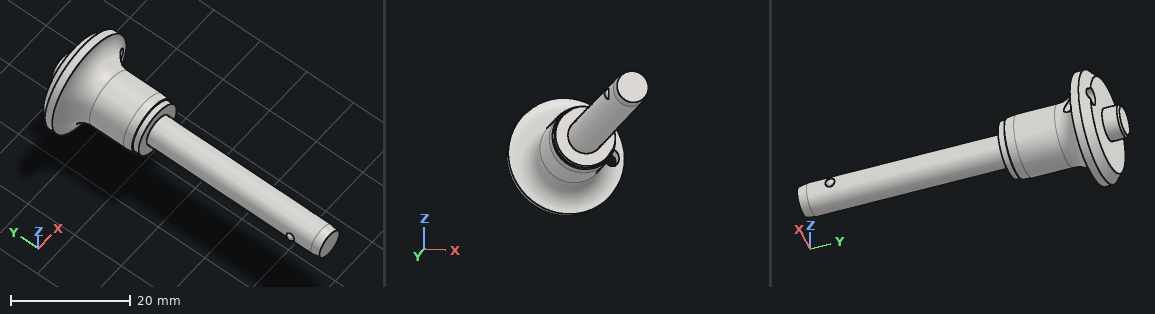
import cadquery as cq
import math

total_length = 57.7
tip_y = -total_length / 2
button_end_y = total_length / 2

button_radius = 2.9
button_height = 3.0
button_chamfer = 0.35

flange_diameter = 20.0
flange_radius = flange_diameter / 2
flange_chamfer = 1.55
flange_thickness = 3.1

barrel_radius = 5.6
barrel_length = 7.3
flare_radius = flange_radius - barrel_radius

taper_length = 1.75
taper_end_radius = 5.4
collar_radius = 5.15
collar_length = 1.2

shank_radius = 3.0
tip_radius = 2.7
tip_length = 1.75

ball_radius = 0.9
ball_reach = 3.5
ball_to_tip = 6.0

hole_radius = 1.5
hole_offset = 7.5

flange_top_y = button_end_y - button_height
flange_bottom_y = flange_top_y - flange_thickness
barrel_top_y = flange_bottom_y - flare_radius
barrel_bottom_y = barrel_top_y - barrel_length
taper_bottom_y = barrel_bottom_y - taper_length
collar_bottom_y = taper_bottom_y - collar_length


def pin_body():
    """Revolve the half profile of the shank, handle and button about Y."""
    flare_depth = flare_radius * math.sqrt(0.5)
    flare_middle = (flange_radius - flare_depth, barrel_top_y + flare_depth)
    profile = (
        cq.Workplane("XY")
        .moveTo(0, tip_y)
        .lineTo(tip_radius, tip_y)
        .lineTo(shank_radius, tip_y + tip_length)
        .lineTo(shank_radius, collar_bottom_y)
        .lineTo(collar_radius, collar_bottom_y)
        .lineTo(collar_radius, taper_bottom_y)
        .lineTo(taper_end_radius, taper_bottom_y)
        .lineTo(barrel_radius, barrel_bottom_y)
        .lineTo(barrel_radius, barrel_top_y)
        .threePointArc(flare_middle, (flange_radius, flange_bottom_y))
        .lineTo(flange_radius, flange_top_y - flange_chamfer)
        .lineTo(flange_radius - flange_chamfer, flange_top_y)
        .lineTo(button_radius, flange_top_y)
        .lineTo(button_radius, button_end_y - button_chamfer)
        .lineTo(button_radius - button_chamfer, button_end_y)
        .lineTo(0, button_end_y)
        .close()
    )
    return profile.revolve(360, (0, 0, 0), (0, 1, 0))


def locking_ball(side):
    """One of the two balls protruding from the shank, on the +X or -X side."""
    center_x = side * (ball_reach - ball_radius)
    return cq.Workplane("XY").sphere(ball_radius).translate((center_x, tip_y + ball_to_tip, 0))


def lanyard_hole():
    """Cutter for the hole through the flange, parallel to the pin axis."""
    return (
        cq.Workplane("XZ", origin=(hole_offset, flange_top_y, 0))
        .circle(hole_radius)
        .extrude(flange_thickness + flare_radius)
    )


result = pin_body().cut(lanyard_hole())
for side in (-1, 1):
    result = result.union(locking_ball(side))